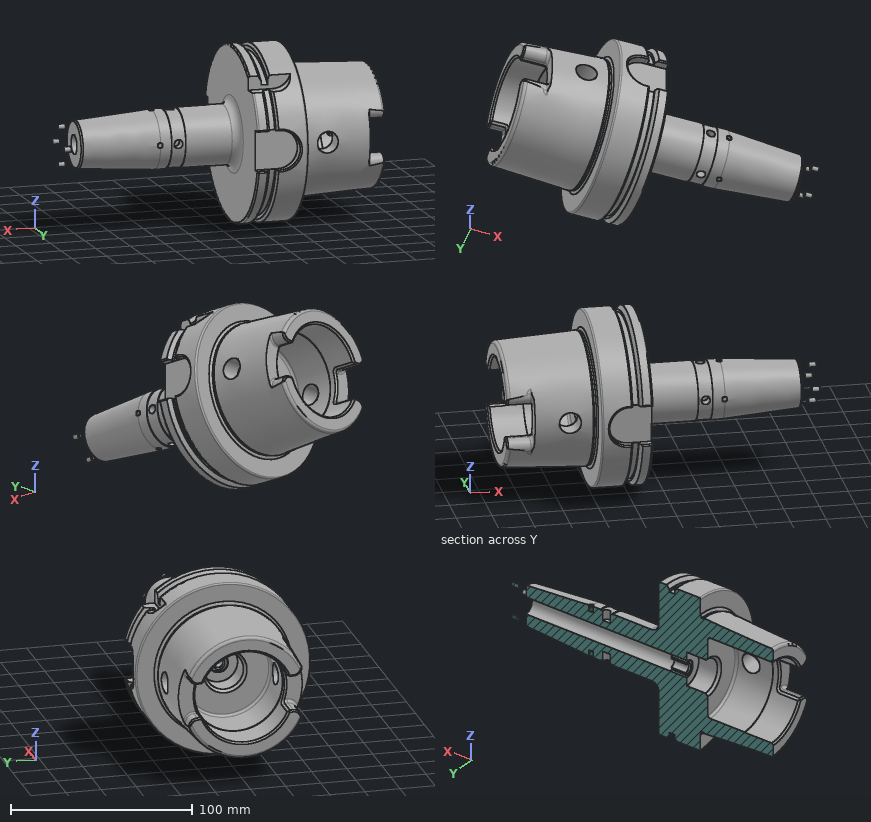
import cadquery as cq
import math


shank_back_radius = 35.5
shank_front_radius = 37.8
shank_round = 1.8
shank_end = 47.5
relief_radius = 37.3
relief_start = 48.2
relief_end = 49.3
shoulder_radius = 39.2

flange_start = 50.0
flange_end = 79.0
flange_radius = 50.0
flange_round = 0.9
groove_left = 66.8
groove_floor_left = 67.8
groove_floor_right = 71.5
groove_right = 73.2
groove_wall_left_radius = 48.2
groove_wall_right_radius = 47.5
groove_floor_radius = 46.0

neck_radius = 17.0
neck_fillet = 4.9
band_start = 110.5
band_end = 118.6
band_radius = 16.5
nose_taper_start = 125.3
nose_end = 169.9
nose_end_radius = 13.7
nose_chamfer = 1.0

mouth_radius = 26.3
mouth_depth = 19.8
cavity_radius = 26.1
cavity_floor = 45.0
cavity_floor_fillet = 1.5
mouth_chamfer = 1.0
coolant_radius = 10.8
coolant_chamfer = 1.6
coolant_depth = 14.4
bore_radius = 5.4

slot_half_width = 9.9
slot_lip_round = 4.9
slot_lip_y = 27.4
slot_flat_length = 14.4
slot_lead = 0.9
front_slot_depth = 15.1
front_slot_fillet = 1.8
back_slot_depth = 9.7
back_slot_fillet = 0.9

cross_hole_x = 34.7
cross_hole_diameter = 12.0

keyway_half_width = 11.2
keyway_floor = 44.0
keyway_chamfer = 0.9
keyway_end_x = 54.5
notch_corner = 31.3
notch_end_radius = 10.3
notch_flat_start = 64.6

balance_hole_x = 114.6
balance_hole_diameter = 4.9
balance_hole_depth = 6.3
plug_x = nose_taper_start
plug_diameter = 2.9
plug_hole_depth = 4.0
plug_recess = 0.5

stop_screw_length = 10.8
stop_screw_flat = 4.3
stop_screw_chamfer = 0.4
stop_screw_hole_radius = 2.7
stop_screw_countersink = 0.9

pin_start = 174.8
pin_end = 180.0
pin_radius = 1.6
pin_chamfer = 0.5
pin_circle_radius = 10.6

chamfer_angle = 45
quarter_turns = [0, 90, 180, 270]
corner = math.sqrt(0.5)
margin = 9.0
tolerance = 0.02


def revolve_about_x(outline):
    return outline.close().revolve(360, (0, 0, 0), (1, 0, 0))


def around_axis(shape):
    """Four copies of a shape, a quarter turn apart about the X axis."""
    return [shape.rotate((0, 0, 0), (1, 0, 0), angle) for angle in quarter_turns]


def outer_form():
    """Solid outside shape of shank, flange, neck and nose."""
    shank_inset = shank_round * (1 - corner)
    flange_inset = flange_round * (1 - corner)
    neck_inset = neck_fillet * (1 - corner)
    outline = (
        cq.Workplane("XY")
        .moveTo(0, 0)
        .lineTo(0, shank_back_radius - shank_round)
        .threePointArc(
            (shank_inset, shank_back_radius - shank_inset),
            (shank_round, shank_back_radius),
        )
        .lineTo(shank_end, shank_front_radius)
        .lineTo(relief_start, relief_radius)
        .lineTo(relief_end, relief_radius)
        .lineTo(flange_start, shoulder_radius)
        .lineTo(flange_start, flange_radius - flange_round)
        .threePointArc(
            (flange_start + flange_inset, flange_radius - flange_inset),
            (flange_start + flange_round, flange_radius),
        )
        .lineTo(groove_left, flange_radius)
        .lineTo(groove_floor_left, groove_wall_left_radius)
        .lineTo(groove_floor_left, groove_floor_radius)
        .lineTo(groove_floor_right, groove_floor_radius)
        .lineTo(groove_floor_right, groove_wall_right_radius)
        .lineTo(groove_right, flange_radius)
        .lineTo(flange_end - flange_round, flange_radius)
        .threePointArc(
            (flange_end - flange_inset, flange_radius - flange_inset),
            (flange_end, flange_radius - flange_round),
        )
        .lineTo(flange_end, neck_radius + neck_fillet)
        .threePointArc(
            (flange_end + neck_inset, neck_radius + neck_inset),
            (flange_end + neck_fillet, neck_radius),
        )
        .lineTo(band_start, neck_radius)
        .lineTo(band_start, band_radius)
        .lineTo(band_end, band_radius)
        .lineTo(band_end, neck_radius)
        .lineTo(nose_taper_start, neck_radius)
        .lineTo(nose_end - nose_chamfer, nose_end_radius)
        .lineTo(nose_end, nose_end_radius - nose_chamfer / 2)
        .lineTo(nose_end, 0)
    )
    return revolve_about_x(outline)


def cavity():
    """Shank cavity, coolant recess and the bore that runs on through the nose."""
    fillet_inset = cavity_floor_fillet * (1 - corner)
    outline = (
        cq.Workplane("XY")
        .moveTo(0, 0)
        .lineTo(0, mouth_radius)
        .lineTo(mouth_depth, mouth_radius)
        .lineTo(mouth_depth, cavity_radius)
        .lineTo(cavity_floor - cavity_floor_fillet, cavity_radius)
        .threePointArc(
            (cavity_floor - fillet_inset, cavity_radius - fillet_inset),
            (cavity_floor, cavity_radius - cavity_floor_fillet),
        )
        .lineTo(cavity_floor, coolant_radius + coolant_chamfer)
        .lineTo(cavity_floor + coolant_chamfer, coolant_radius)
        .lineTo(cavity_floor + coolant_depth, coolant_radius)
        .lineTo(cavity_floor + coolant_depth, bore_radius)
        .lineTo(nose_end, bore_radius)
        .lineTo(nose_end, 0)
    )
    return revolve_about_x(outline)


def drive_slot_outline():
    """Slot on the +Y side; its lips round over into flats that run out on the outside of the shank."""
    lip_z = slot_half_width + slot_lip_round
    lip_angle = math.atan2(lip_z, slot_lip_y)
    bend_angle = (lip_angle - math.pi / 2) / 2

    def lip_point(angle):
        return (
            slot_lip_y + slot_lip_round * math.cos(angle),
            lip_z + slot_lip_round * math.sin(angle),
        )

    bend_y, bend_z = lip_point(bend_angle)
    flat_y, flat_z = lip_point(lip_angle)
    far_y = flat_y - slot_flat_length * math.sin(lip_angle)
    far_z = flat_z + slot_flat_length * math.cos(lip_angle)
    return (
        cq.Workplane("YZ")
        .moveTo(coolant_radius, -slot_half_width)
        .lineTo(slot_lip_y, -slot_half_width)
        .threePointArc((bend_y, -bend_z), (flat_y, -flat_z))
        .lineTo(far_y, -far_z)
        .lineTo(flange_radius, -far_z)
        .lineTo(flange_radius, far_z)
        .lineTo(far_y, far_z)
        .lineTo(flat_y, flat_z)
        .threePointArc((bend_y, bend_z), (slot_lip_y, slot_half_width))
        .lineTo(coolant_radius, slot_half_width)
        .close()
    )


def drive_slot(depth, floor_fillet):
    """Drive slot of a given depth from the shank end, with a filleted floor."""
    return drive_slot_outline().extrude(depth).faces(">X").edges().fillet(floor_fillet)


def slot_lead_in():
    """Chamfer around the open end of a drive slot."""
    return drive_slot_outline().offset2D(slot_lead).extrude(slot_lead, taper=chamfer_angle)


def on_mouth_bore(edge):
    """True for an edge that lies on the cylinder of the mouth, between the end face and the slots."""
    points = [edge.positionAt(fraction) for fraction in (0, 0.5, 1)]
    return all(
        abs(math.hypot(point.y, point.z) - mouth_radius) < tolerance
        and point.x < front_slot_depth + tolerance
        for point in points
    )


def keyway():
    """Flat-floored slot on the +Y side, round at its rear end, with a chamfered rim."""
    centre_x = keyway_end_x + keyway_half_width
    outline = (
        cq.Workplane("XZ", origin=(0, keyway_floor, 0))
        .moveTo(flange_end, -keyway_half_width)
        .lineTo(centre_x, -keyway_half_width)
        .threePointArc((keyway_end_x, 0), (centre_x, keyway_half_width))
        .lineTo(flange_end, keyway_half_width)
        .close()
    )
    slot = outline.extrude(keyway_floor - flange_radius - margin)
    rim = (
        cq.Workplane("YZ", origin=(flange_start, 0, 0))
        .circle(flange_radius)
        .extrude(flange_end - flange_start)
    )
    rim_box = cq.selectors.BoxSelector(
        (flange_start, keyway_floor + keyway_chamfer, -2 * keyway_half_width),
        (flange_end - keyway_chamfer, flange_radius + margin, 2 * keyway_half_width),
    )
    chamfered = rim.cut(slot).edges(rim_box).edges("not #Y").chamfer(keyway_chamfer)
    return rim.cut(chamfered)


def index_notch():
    """Square-cornered notch in the flange rim, with a cylindrical run-out at its rear end."""
    width = flange_radius - notch_corner
    flat_part = (
        cq.Workplane("XY", origin=(notch_flat_start, notch_corner, notch_corner))
        .box(flange_end - notch_flat_start, width, width, centered=False)
    )
    run_out = (
        cq.Workplane("XZ", origin=(0, notch_corner, 0))
        .center(notch_flat_start, notch_corner + notch_end_radius)
        .circle(notch_end_radius)
        .extrude(-width)
    )
    return flat_part.union(run_out)


def radial_cylinder(x, diameter, inner_radius, outer_radius):
    """Cylinder along +Z between two distances from the tool axis."""
    return (
        cq.Workplane("XY", origin=(x, 0, inner_radius))
        .circle(diameter / 2)
        .extrude(outer_radius - inner_radius)
    )


def make_holder():
    """Shank, flange and nose in one piece, with all cuts."""
    body = outer_form().cut(cavity())
    body = body.cut(drive_slot(back_slot_depth, back_slot_fillet))
    body = body.cut(drive_slot(front_slot_depth, front_slot_fillet).mirror("XZ"))
    bore_edges = [edge for edge in body.edges().vals() if on_mouth_bore(edge)]
    body = body.newObject(bore_edges).chamfer(mouth_chamfer)
    body = body.cut(slot_lead_in()).cut(slot_lead_in().mirror("XZ"))
    cross_hole = (
        cq.Workplane("XZ", origin=(cross_hole_x, 0, 0))
        .circle(cross_hole_diameter / 2)
        .extrude(flange_radius, both=True)
    )
    body = body.cut(cross_hole)
    body = body.cut(keyway()).cut(keyway().mirror("XZ")).cut(index_notch())
    balance_hole = radial_cylinder(
        balance_hole_x, balance_hole_diameter, band_radius - balance_hole_depth, flange_radius
    )
    plug_hole = radial_cylinder(plug_x, plug_diameter, neck_radius - plug_hole_depth, flange_radius)
    for hole in around_axis(balance_hole) + around_axis(plug_hole):
        body = body.cut(hole)
    return body


def make_stop_screw():
    """Hollow screw with two flats, at the rear end of the bore."""
    start = cavity_floor + coolant_depth
    screw = (
        cq.Workplane("YZ", origin=(start, 0, 0))
        .circle(bore_radius)
        .extrude(stop_screw_length)
        .edges()
        .chamfer(stop_screw_chamfer)
    )
    flats = cq.Workplane("XY").box(2 * nose_end, 2 * bore_radius, 2 * stop_screw_flat)
    screw = screw.intersect(flats)
    return screw.faces("<X").workplane(origin=(start, 0, 0)).cskHole(
        2 * stop_screw_hole_radius, 2 * (stop_screw_hole_radius + stop_screw_countersink), 2 * chamfer_angle
    )


def make_plugs():
    """Plugs that close the small radial holes, slightly below the surface."""
    plug = radial_cylinder(
        plug_x, plug_diameter, neck_radius - plug_hole_depth, neck_radius - plug_recess
    )
    return around_axis(plug)


def make_pins():
    """Pins parallel to the tool axis, chamfered at both ends."""
    pin = (
        cq.Workplane("YZ", origin=(pin_start, 0, pin_circle_radius))
        .circle(pin_radius)
        .extrude(pin_end - pin_start)
        .edges()
        .chamfer(pin_chamfer)
    )
    return around_axis(pin)


holder = make_holder()
stop_screw = make_stop_screw()
plugs = make_plugs()
pins = make_pins()

result = cq.Compound.makeCompound(
    [
        holder.val(),
        stop_screw.val(),
        *[plug.val() for plug in plugs],
        *[pin.val() for pin in pins],
    ]
)